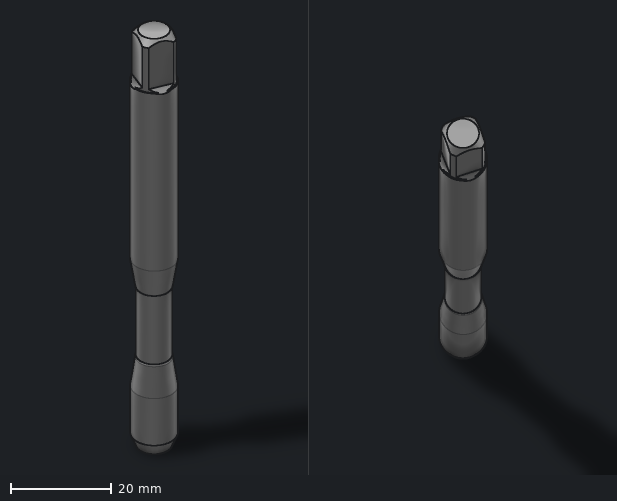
import cadquery as cq

total_length = 100.1
lead_length = 2.9
head_cone_start = 14.3
head_cone_end = 21.3
head_end = 21.7
neck_top = 38.2
shank_cone_end = 38.5
shank_start = 45.1
shank_end = 88.0

lead_tip_diameter = 7.3
head_diameter = 9.6
neck_diameter = 7.3
neck_rim_diameter = 7.6
shank_diameter = 9.7
drive_diameter = 9.2
drive_tip_diameter = 6.4

square_width = 7.4
ramp_top = 88.8


def make_head():
    """Cutting head: tapered lead, cylinder and a cone chamfered down to the neck."""
    return (
        cq.Workplane("XZ")
        .moveTo(0, 0)
        .lineTo(lead_tip_diameter / 2, 0)
        .lineTo(head_diameter / 2, lead_length)
        .lineTo(head_diameter / 2, head_cone_start)
        .lineTo(neck_rim_diameter / 2, head_cone_end)
        .lineTo(neck_diameter / 2, head_end)
        .lineTo(0, head_end)
        .close()
        .revolve(360, (0, 0), (0, 1))
    )


def make_round_shank():
    """Neck, shank and drive end as one turned shape with a 45 degree end chamfer."""
    end_chamfer = (drive_diameter - drive_tip_diameter) / 2
    return (
        cq.Workplane("XZ")
        .moveTo(0, head_end)
        .lineTo(neck_diameter / 2, head_end)
        .lineTo(neck_diameter / 2, neck_top)
        .lineTo(neck_rim_diameter / 2, shank_cone_end)
        .lineTo(shank_diameter / 2, shank_start)
        .lineTo(shank_diameter / 2, shank_end)
        .lineTo(drive_diameter / 2, shank_end)
        .lineTo(drive_diameter / 2, total_length - end_chamfer)
        .lineTo(drive_tip_diameter / 2, total_length)
        .lineTo(0, total_length)
        .close()
        .revolve(360, (0, 0), (0, 1))
    )


def make_flat_cutter():
    """Cutter for one flat of the square, running out down a 45 degree ramp."""
    inner = square_width / 2
    outer = shank_diameter
    return (
        cq.Workplane("XZ")
        .moveTo(inner, total_length)
        .lineTo(inner, ramp_top)
        .lineTo(outer, ramp_top - (outer - inner))
        .lineTo(outer, total_length)
        .close()
        .extrude(shank_diameter / 2, both=True)
    )


def make_shank():
    """Shank with four flats forming the square drive."""
    body = make_round_shank()
    cutter = make_flat_cutter()
    for angle in (0, 90, 180, 270):
        body = body.cut(cutter.rotate((0, 0, 0), (0, 0, 1), angle))
    return body


head = make_head()
shank = make_shank()

result = cq.Compound.makeCompound([head.val(), shank.val()])